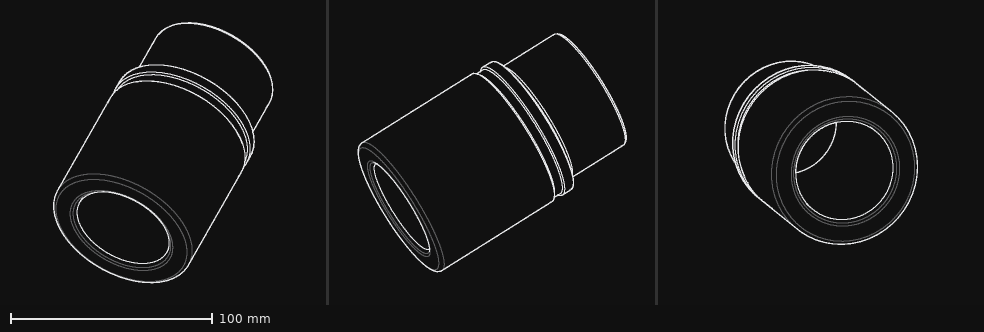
import cadquery as cq
import math

length = 115.0
body_radius = 37.5

shoulder_start = 68.1
groove_depth = 1.2
groove_front_flank = 0.9
groove_rear_flank = 0.7
collar_front = 74.3
collar_rear = 79.8
collar_edge = 0.3
front_round = 2.0

spigot_radius = 32.5
spigot_front = 81.3
neck_radius = 31.5
rear_chamfer_length = 1.0
rear_chamfer_depth = 0.6

bore_radius = 25.0
mouth_radius = 27.8
entry_round = 2.0

groove_radius = body_radius - groove_depth
spigot_chamfer = spigot_radius - neck_radius
entry_angle = math.radians(45)
cone_radius = mouth_radius - entry_round * math.sin(entry_angle)
cone_start = entry_round * (1 - math.cos(entry_angle))
cone_end = cone_start + (cone_radius - bore_radius) / math.tan(entry_angle)
diagonal = math.sqrt(0.5)


def revolve_about_y(profile):
    """Turn a closed radius-versus-Y profile about the Y axis."""
    return profile.close().revolve(360, (0, 0, 0), (0, 1, 0))


def make_outside():
    """Solid outer form: body, groove, collar, neck and spigot."""
    round_center = body_radius - front_round
    profile = (
        cq.Workplane("XY")
        .moveTo(0, 0)
        .lineTo(round_center, 0)
        .threePointArc(
            (round_center + front_round * diagonal, front_round * (1 - diagonal)),
            (body_radius, front_round),
        )
        .lineTo(body_radius, shoulder_start)
        .lineTo(groove_radius, shoulder_start + groove_front_flank)
        .lineTo(groove_radius, collar_front - groove_rear_flank)
        .lineTo(body_radius, collar_front)
        .lineTo(body_radius, collar_rear - collar_edge)
        .lineTo(body_radius - collar_edge, collar_rear)
        .lineTo(neck_radius, collar_rear)
        .lineTo(neck_radius, spigot_front)
        .lineTo(spigot_radius, spigot_front + spigot_chamfer)
        .lineTo(spigot_radius, length - rear_chamfer_length)
        .lineTo(spigot_radius - rear_chamfer_depth, length)
        .lineTo(0, length)
    )
    return revolve_about_y(profile)


def make_bore():
    """Through bore with a convex rounded mouth tangent to a short cone."""
    profile = (
        cq.Workplane("XY")
        .moveTo(0, 0)
        .lineTo(mouth_radius, 0)
        .threePointArc(
            (
                mouth_radius - entry_round * math.sin(entry_angle / 2),
                entry_round * (1 - math.cos(entry_angle / 2)),
            ),
            (cone_radius, cone_start),
        )
        .lineTo(bore_radius, cone_end)
        .lineTo(bore_radius, length)
        .lineTo(0, length)
    )
    return revolve_about_y(profile)


result = make_outside().cut(make_bore())